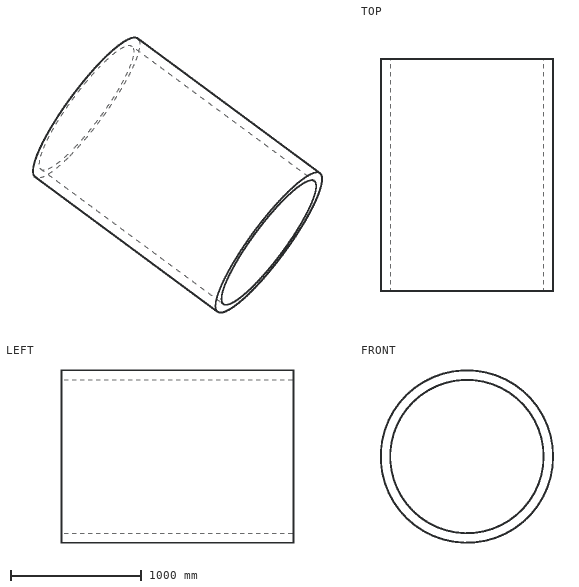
import cadquery as cq

length = 1778.0
outer_diameter = 1321.0
wall_thickness = 75.0
inner_diameter = outer_diameter - 2 * wall_thickness

result = (
    cq.Workplane("XZ", origin=(0, length / 2, 0))
    .circle(outer_diameter / 2)
    .circle(inner_diameter / 2)
    .extrude(length)
)